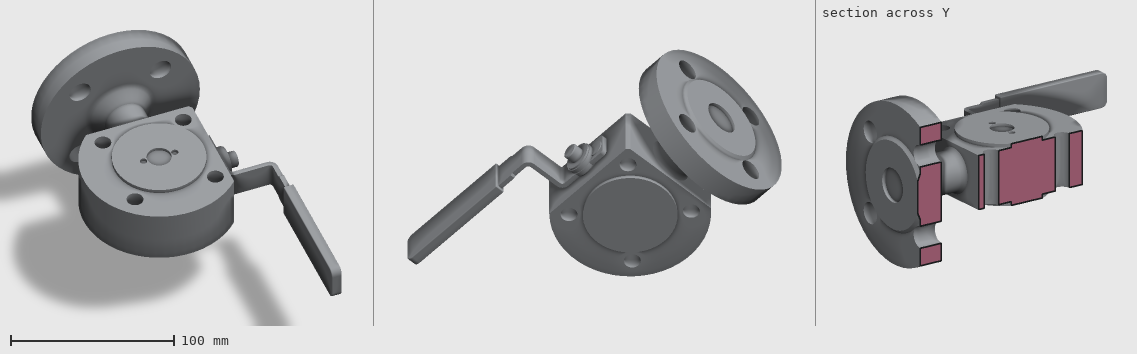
import cadquery as cq
import math


flange_dia = 105.0
flange_thickness = 16.0
flange_face_x = -82.0
raised_height = 2.0
raised_tip_dia = 57.0
raised_root_dia = raised_tip_dia + 2 * raised_height
inlet_bore_dia = 22.0
inlet_bore_depth = 2.5
bolt_circle_dia = 75.0
bolt_offset = bolt_circle_dia / 2 * math.cos(math.radians(45))
flange_hole_dia = 14.0

neck_radius = 13.2
cone_small_x = -56.2
cone_root_radius = 4.1
block_root_x = -39.9
block_root_radius = 4.5

block_radius = 49.5
block_height = 35.5
inlet_side_x = -36.3
stem_side_y = 35.7
block_hole_dia = 10.3
pad_dia = 58.0
pad_height = 2.5
outlet_bore_dia = 15.3
outlet_bore_depth = 2.0
pin_hole_dia = 4.5
pin_hole_depth = 2.0
pin_hole_offset = 10.3

boss_dia = 18.5
stem_dia = 10.1
stem_end_y = 50.8
stem_chamfer = 0.6
nut_dia = 19.8
nut_height = 3.0
nut_rim_dia = 18.5
nut_rim_height = 1.2
stop_dia = 11.0
stop_x = -11.8
stop_above_lever = 0.6

strip_thickness = 3.0
lever_seat_y = 37.0
lever_top_y = 69.0
lever_start_x = -18.4
lever_corner_radius = 2.5
leg_x = 17.8
bend_inner_radius = 2.0
bend_outer_radius = bend_inner_radius + strip_thickness
narrow_width = 16.7
wide_width = 19.2
step_start_x = 32.0
step_length = (wide_width - narrow_width) / 2
hub_dia = 20.7

grip_start_x = 44.5
grip_end_x = flange_face_x + 206.5
grip_thickness = 6.6
grip_outer_wall = 1.9
grip_width = 23.1
grip_corner_radius = 4.5
grip_edge_radius = 0.6
grip_end_wall = (grip_width - wide_width) / 2
lever_end_x = grip_end_x - grip_end_wall


def bolt_holes(plane, dia, length):
    """Four bars on the bolt circle, reaching length to each side of the plane."""
    spacing = 2 * bolt_offset
    return (
        cq.Workplane(plane).rect(spacing, spacing, forConstruction=True).vertices()
        .circle(dia / 2).extrude(length, both=True)
    )


def y_cylinder(dia, start_y, end_y, x=0):
    """A cylinder along Y, from start_y to end_y."""
    return cq.Workplane("XZ", origin=(x, start_y, 0)).circle(dia / 2).extrude(start_y - end_y)


def make_inlet():
    """Flange, cone and neck, turned around the X axis."""
    raised_root_x = flange_face_x + raised_height
    flange_back_x = raised_root_x + flange_thickness

    slope = math.sin(math.radians(45))
    cone_large_x = flange_back_x + cone_root_radius * (1 - slope)
    cone_large_radius = neck_radius + cone_small_x - cone_large_x
    root_centre_x = flange_back_x + cone_root_radius
    root_outer_radius = cone_large_radius + cone_root_radius * slope
    middle = math.radians(22.5)
    cone_root_middle = (
        root_centre_x - cone_root_radius * math.cos(middle),
        root_outer_radius - cone_root_radius * math.sin(middle),
    )

    flare_angle = math.asin((inlet_side_x - block_root_x) / block_root_radius)

    def flare_point(angle):
        return (
            block_root_x + block_root_radius * math.sin(angle),
            neck_radius + block_root_radius * (1 - math.cos(angle)),
        )

    profile = (
        cq.Workplane("XY")
        .moveTo(flange_face_x, 0)
        .lineTo(flange_face_x, raised_tip_dia / 2)
        .lineTo(raised_root_x, raised_root_dia / 2)
        .lineTo(raised_root_x, flange_dia / 2)
        .lineTo(flange_back_x, flange_dia / 2)
        .lineTo(flange_back_x, root_outer_radius)
        .threePointArc(cone_root_middle, (cone_large_x, cone_large_radius))
        .lineTo(cone_small_x, neck_radius)
        .lineTo(block_root_x, neck_radius)
        .threePointArc(flare_point(flare_angle / 2), flare_point(flare_angle))
        .lineTo(inlet_side_x, 0)
        .close()
    )
    inlet = profile.revolve(360, (0, 0, 0), (1, 0, 0))
    bore = (
        cq.Workplane("YZ", origin=(flange_face_x, 0, 0))
        .circle(inlet_bore_dia / 2).extrude(inlet_bore_depth)
    )
    holes = bolt_holes("YZ", flange_hole_dia, -flange_face_x).intersect(
        cq.Workplane("YZ", origin=(flange_face_x, 0, 0)).rect(flange_dia, flange_dia)
        .extrude(raised_height + flange_thickness)
    )
    return inlet.cut(bore).cut(holes)


def make_block():
    """Round block with flats on the inlet and stem sides, and a pad on each end face."""
    block = cq.Workplane("XY").circle(block_radius).extrude(block_height / 2, both=True)
    flats = (
        cq.Workplane("XY").moveTo(inlet_side_x, stem_side_y)
        .lineTo(block_radius, stem_side_y)
        .lineTo(block_radius, -block_radius)
        .lineTo(inlet_side_x, -block_radius)
        .close()
        .extrude(block_height / 2, both=True)
    )
    pad_z = block_height / 2 + pad_height
    pads = cq.Workplane("XY").circle(pad_dia / 2).extrude(pad_z, both=True)
    block = block.intersect(flats).union(pads)
    block = block.cut(bolt_holes("XY", block_hole_dia, block_height))

    pad_top = cq.Workplane("XY", origin=(0, 0, pad_z))
    outlet_bore = pad_top.circle(outlet_bore_dia / 2).extrude(-outlet_bore_depth)
    pin_holes = (
        pad_top.pushPoints([(0, -pin_hole_offset), (0, pin_hole_offset)])
        .circle(pin_hole_dia / 2).extrude(-pin_hole_depth)
    )
    return block.cut(outlet_bore).cut(pin_holes)


def make_stem():
    """Boss, stem and nut in one, with the lever's stop pin beside them."""
    lever_face_y = lever_seat_y + strip_thickness
    nut_y = lever_face_y + nut_height
    rim_y = nut_y + nut_rim_height
    stem = y_cylinder(stem_dia, stem_side_y, stem_end_y).faces(">Y").chamfer(stem_chamfer)
    boss = y_cylinder(boss_dia, stem_side_y, lever_seat_y)
    nut = y_cylinder(nut_dia, lever_face_y, nut_y)
    nut_rim = y_cylinder(nut_rim_dia, nut_y, rim_y)
    stop_pin = y_cylinder(stop_dia, stem_side_y, lever_face_y + stop_above_lever, stop_x)
    return stem.union(boss).union(nut).union(nut_rim).union(stop_pin)


def make_lever():
    """Bent strip with a round hub, cut to its width and drilled for the stem and stop pin."""
    seat_face_y = lever_seat_y + strip_thickness
    top_under_y = lever_top_y - strip_thickness
    leg_right_x = leg_x + strip_thickness
    inner, outer = bend_inner_radius, bend_outer_radius
    strip = (
        cq.Workplane("XY").moveTo(lever_start_x, lever_seat_y)
        .lineTo(leg_right_x - outer, lever_seat_y)
        .radiusArc((leg_right_x, lever_seat_y + outer), -outer)
        .lineTo(leg_right_x, top_under_y - inner)
        .radiusArc((leg_right_x + inner, top_under_y), inner)
        .lineTo(lever_end_x, top_under_y)
        .lineTo(lever_end_x, lever_top_y)
        .lineTo(leg_x + outer, lever_top_y)
        .radiusArc((leg_x, lever_top_y - outer), -outer)
        .lineTo(leg_x, seat_face_y + inner)
        .radiusArc((leg_x - inner, seat_face_y), inner)
        .lineTo(lever_start_x, seat_face_y)
        .close()
        .extrude(wide_width / 2, both=True)
    )
    step_end_x = step_start_x + step_length
    outline = (
        cq.Workplane("XZ").moveTo(lever_start_x, -narrow_width / 2)
        .lineTo(step_start_x, -narrow_width / 2)
        .lineTo(step_end_x, -wide_width / 2)
        .lineTo(lever_end_x, -wide_width / 2)
        .lineTo(lever_end_x, wide_width / 2)
        .lineTo(step_end_x, wide_width / 2)
        .lineTo(step_start_x, narrow_width / 2)
        .lineTo(lever_start_x, narrow_width / 2)
        .close()
        .extrude(-lever_top_y)
        .edges("|Y and <X").fillet(lever_corner_radius)
    )
    hub = y_cylinder(hub_dia, lever_seat_y, seat_face_y)
    stem_hole = y_cylinder(stem_dia, lever_seat_y, seat_face_y)
    stop_hole = y_cylinder(stop_dia, lever_seat_y, seat_face_y, stop_x)
    return strip.intersect(outline).union(hub).cut(stem_hole).cut(stop_hole)


def make_grip(lever):
    """Sleeve with rounded edges and a pocket that the lever fills."""
    length = grip_end_x - grip_start_x
    centre_y = lever_top_y + grip_outer_wall - grip_thickness / 2
    grip = (
        cq.Workplane("XY").box(length, grip_thickness, grip_width)
        .edges("|Y and >X").fillet(grip_corner_radius)
        .edges("<Y or >Y or <X").fillet(grip_edge_radius)
        .translate((grip_start_x + length / 2, centre_y, 0))
    )
    return grip.cut(lever)


housing = make_block().union(make_inlet()).union(make_stem())
lever = make_lever()
grip = make_grip(lever)

result = cq.Compound.makeCompound([housing.val(), lever.val(), grip.val()])